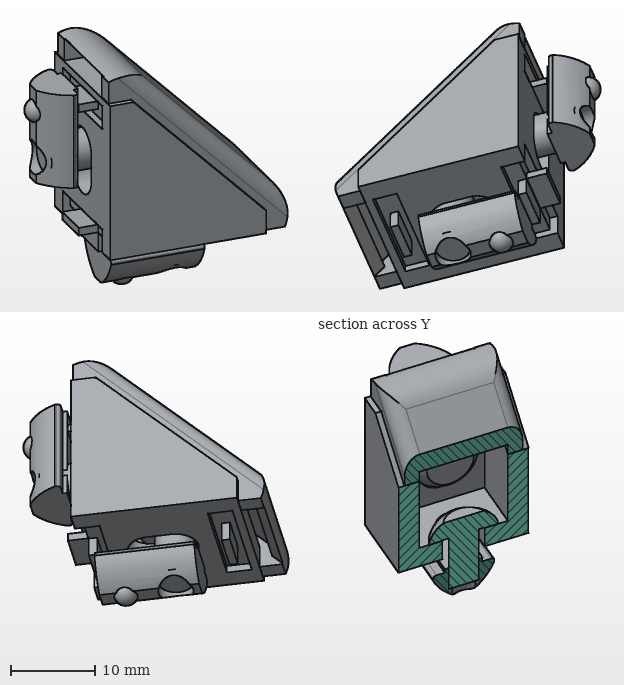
import cadquery as cq
import math

overall = 30.5

bracket_width = 17.0
leg = 20.0
wall = 3.0
inner_width = 11.5

bolt_place = 11.0
slot_width = 5.5
slot_end_centre = 8.0

window_width = 12.02
window_height = 3.0
window_depth = 0.95
upper_window_base = 16.0
lug_width = 5.0
lug_thickness = 1.0
lug_reach = 1.52

cap_width = 15.5
cap_thickness = 3.0
cap_inset = 0.1
crown_radius = 5.0
crown_centre = 2.0
cap_edge_radius = 2.0
cap_recess_depth = 1.0
cap_recess_start = 1.5

head_diameter = 9.52
head_height = 2.75
head_flat_diameter = 6.1
head_rim = 0.3
dome_bulge = 0.2
shank_diameter = 5.0
bolt_reach = 5.0

bore_diameter = 4.2
nut_length = 12.02
nut_overhang = 3.0
nut_start = 1.62
nut_shoulder = 2.17
nut_front = 6.37
nut_side_start = 2.62
nut_side_end = 2.8
neck_width = 4.95
nut_width = 8.05
nut_front_width = 1.95
flank_radius = 7.32
ball_place = 6.0
ball_radius = 1.5


slope_sum = leg + wall
crest_sum = slope_sum + cap_thickness * math.sqrt(2)
crown_height = crest_sum - crown_radius * math.sqrt(2) - crown_centre
cap_top = crown_height + crown_radius
ball_tip = overall - cap_top


def prism(outline, width):
    """Extrude a closed (y, z) outline symmetrically about the YZ plane."""
    return cq.Workplane("YZ").polyline(outline).close().extrude(width / 2, both=True)


def block(width, y_range, z_range):
    """Box centred on X that spans the given ranges of Y and Z."""
    size_y = y_range[1] - y_range[0]
    size_z = z_range[1] - z_range[0]
    box = cq.Workplane("XY").box(width, size_y, size_z, centered=(True, False, False))
    return box.translate((0, y_range[0], z_range[0]))


def swap_walls(shape):
    """Half turn that carries a shape from the upright wall to the same place on the lying wall."""
    return shape.rotate((0, 0, 0), (0, 1, 1), 180)


def make_wall_cuts():
    """Bolt slot and lug windows of the upright wall."""
    centre_distance = bolt_place - slot_end_centre
    cuts = (
        cq.Workplane("XZ")
        .center(0, (bolt_place + slot_end_centre) / 2)
        .slot2D(centre_distance + slot_width, slot_width, 90)
        .extrude(-wall)
    )
    for base in (0, upper_window_base):
        cuts = cuts.union(block(window_width, (0, window_depth), (base, base + window_height)))
    return cuts


def make_lugs():
    """Two lugs of the upright wall, each centred in the height of its window."""
    lugs = cq.Workplane("XY")
    for base in (0, upper_window_base):
        lug_base = base + (window_height - lug_thickness) / 2
        lugs = lugs.add(block(lug_width, (-lug_reach, window_depth), (lug_base, lug_base + lug_thickness)))
    return lugs.combine()


def make_bracket():
    outline = [(0, 0), (leg, 0), (leg, wall), (wall, leg), (0, leg)]
    cavity = [(wall, wall), (leg, wall), (wall, leg)]
    bracket = prism(outline, bracket_width).cut(prism(cavity, inner_width))
    cuts = make_wall_cuts()
    lugs = make_lugs()
    bracket = bracket.cut(cuts).cut(swap_walls(cuts))
    return bracket.union(lugs).union(swap_walls(lugs))


def make_cap():
    crown_rise = math.sqrt(crown_radius**2 - (crown_centre - cap_inset) ** 2)
    tangent = crown_radius / math.sqrt(2)
    end = (cap_inset, crown_height + crown_rise)
    top = (crown_centre, cap_top)
    flat = (crown_centre + tangent, crown_height + tangent)
    cap = (
        cq.Workplane("YZ")
        .moveTo(cap_inset, leg)
        .lineTo(*end)
        .threePointArc(top, flat)
        .lineTo(*flat[::-1])
        .threePointArc(top[::-1], end[::-1])
        .lineTo(leg, cap_inset)
        .lineTo(leg, wall)
        .lineTo(wall, leg)
        .close()
        .extrude(cap_width / 2, both=True)
    )

    envelope = (
        cq.Workplane("XY")
        .box(cap_width, 2 * crest_sum, crest_sum)
        .edges("|Y and >Z")
        .fillet(cap_edge_radius)
        .translate((0, 0, -crest_sum / 2))
        .rotate((0, 0, 0), (1, 0, 0), -45)
        .translate((0, crest_sum / 2, crest_sum / 2))
    )
    cap = cap.intersect(envelope)

    cap = cap.cut(prism([(0, 0), (slope_sum, 0), (0, slope_sum)], inner_width))
    near = cap_recess_start
    far = slope_sum - cap_recess_start
    rise = cap_recess_depth / math.sqrt(2)
    recess = [(near, far), (far, near), (far + rise, near + rise), (near + rise, far + rise)]
    return cap.cut(prism(recess, inner_width))


def make_bolt():
    """Bolt on the Y axis with its tip toward -Y, for a wall whose outer face is y = 0."""
    head_radius = head_diameter / 2
    head_top = wall + head_height
    flat_radius = head_flat_diameter / 2
    rim_top = wall + head_rim
    dome_middle = (
        (flat_radius + head_radius) / 2 + dome_bulge,
        (head_top + rim_top) / 2 + dome_bulge,
    )
    return (
        cq.Workplane("XY")
        .moveTo(0, head_top)
        .lineTo(flat_radius, head_top)
        .threePointArc(dome_middle, (head_radius, rim_top))
        .lineTo(head_radius, wall)
        .lineTo(shank_diameter / 2, wall)
        .lineTo(shank_diameter / 2, -bolt_reach)
        .lineTo(0, -bolt_reach)
        .close()
        .revolve(360, (0, 0, 0), (0, 1, 0))
    )


def make_nut():
    """Nut along Z whose bore lies on the Y axis, facing -Y."""
    neck = neck_width / 2
    side = nut_width / 2
    front = nut_front_width / 2
    corner = nut_side_start - nut_shoulder
    nut = (
        cq.Workplane("XY")
        .workplane(offset=-nut_overhang)
        .moveTo(0, -nut_start)
        .lineTo(neck, -nut_start)
        .lineTo(neck, -nut_shoulder)
        .lineTo(side - corner, -nut_shoulder)
        .radiusArc((side, -nut_side_start), corner)
        .lineTo(side, -nut_side_end)
        .radiusArc((front, -nut_front), flank_radius)
        .lineTo(0, -nut_front)
        .mirrorY()
        .extrude(nut_length)
    )
    ball = cq.Workplane("XY").sphere(ball_radius).translate((0, ball_radius - ball_tip, ball_place))
    bolt_recess = cq.Workplane("XZ").circle(shank_diameter / 2).extrude(bolt_reach)
    bore = cq.Workplane("XZ").circle(bore_diameter / 2).extrude(nut_front)
    return nut.union(ball).cut(bolt_recess).cut(bore)


def place_on_upright_wall(shape):
    return shape.translate((0, 0, bolt_place))


def place_on_lying_wall(shape):
    return shape.rotate((0, 0, 0), (1, 0, 0), 90).translate((0, bolt_place, 0))


bracket = make_bracket()
cap = make_cap()

bolts = []
nuts = []
for place in (place_on_upright_wall, place_on_lying_wall):
    bolts.append(place(make_bolt()).val())
    nuts.append(place(make_nut()).val())

result = cq.Compound.makeCompound([bracket.val(), cap.val(), *bolts, *nuts])